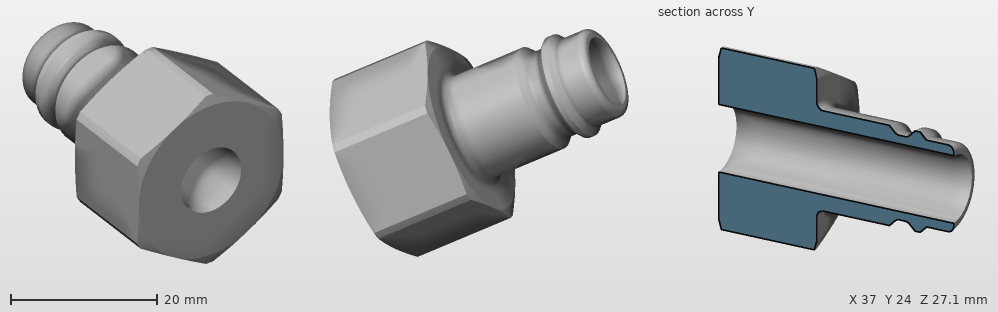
import cadquery as cq
import math

total_length = 37
collar_ramp_start = 4.3
collar_width = 0.8
groove_end = 10.15
hex_start = 21.5

bore_diameter = 10
nose_diameter = 13.0
body_diameter = 15.0
groove_diameter = 12.65

across_flats = 24.0
across_corners = 27.05
hex_chamfer_angle = 15

round_radius = 1.0

hex_length = total_length - hex_start
nose_radius = nose_diameter / 2
body_radius = body_diameter / 2
groove_radius = groove_diameter / 2


def make_stem():
    """Revolved plug stem with 45 degree ramps on both sides of collar and groove."""
    collar_start = collar_ramp_start + body_radius - nose_radius
    groove_start = collar_start + collar_width
    groove_depth = body_radius - groove_radius

    tangent_length = round_radius * math.tan(math.radians(22.5))
    tangent_offset = tangent_length * math.sin(math.radians(45))
    floor_start = groove_start + groove_depth
    floor_end = groove_end - groove_depth
    wall_radius = groove_radius + tangent_offset
    arc_radius = -round_radius

    profile = (
        cq.Workplane("XY")
        .lineTo(0, nose_radius - round_radius)
        .radiusArc((round_radius, nose_radius), round_radius)
        .lineTo(collar_ramp_start, nose_radius)
        .lineTo(collar_start, body_radius)
        .lineTo(groove_start, body_radius)
        .lineTo(floor_start - tangent_offset, wall_radius)
        .radiusArc((floor_start + tangent_length, groove_radius), arc_radius)
        .lineTo(floor_end - tangent_length, groove_radius)
        .radiusArc((floor_end + tangent_offset, wall_radius), arc_radius)
        .lineTo(groove_end, body_radius)
        .lineTo(hex_start - round_radius, body_radius)
        .radiusArc((hex_start, body_radius + round_radius), arc_radius)
        .lineTo(hex_start, 0)
        .close()
    )
    return profile.revolve(360, (0, 0, 0), (1, 0, 0))


def make_hexagon():
    """Hexagon with corners on Z, trimmed by a cylinder with conical ends."""
    sharp_corners = across_flats / math.cos(math.radians(30))
    prism = (
        cq.Workplane("YZ", origin=(hex_start, 0, 0))
        .transformed(rotate=(0, 0, 90))
        .polygon(6, sharp_corners)
        .extrude(hex_length)
    )

    flat_radius = across_flats / 2
    corner_radius = across_corners / 2
    chamfer_length = (corner_radius - flat_radius) * math.tan(math.radians(hex_chamfer_angle))
    envelope = (
        cq.Workplane("XY")
        .moveTo(hex_start, 0)
        .lineTo(hex_start, flat_radius)
        .lineTo(hex_start + chamfer_length, corner_radius)
        .lineTo(total_length - chamfer_length, corner_radius)
        .lineTo(total_length, flat_radius)
        .lineTo(total_length, 0)
        .close()
        .revolve(360, (0, 0, 0), (1, 0, 0))
    )
    return prism.intersect(envelope)


bore = cq.Workplane("YZ").circle(bore_diameter / 2).extrude(total_length)
result = make_stem().union(make_hexagon()).cut(bore)